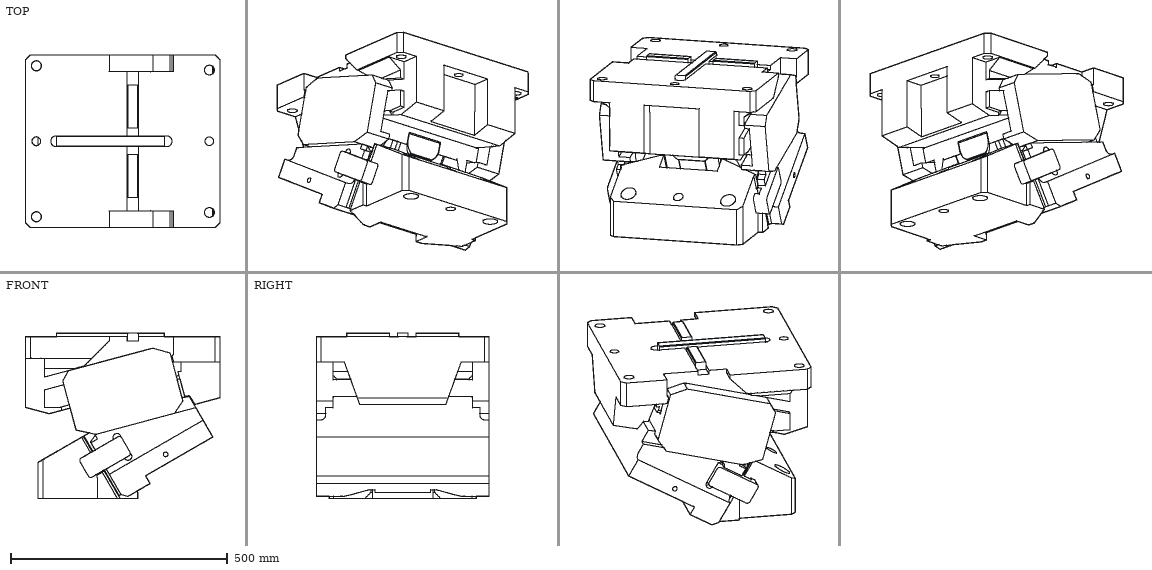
import cadquery as cq
import math

SLIDE_ANGLE = math.radians(15)
RAMP_ANGLE = math.radians(30)

LENGTH = 450.0
WIDTH = 400.0
HEIGHT = 384.0
HALF_WIDTH = WIDTH / 2
FAR = 900.0
FIT = 0.5
CORNER_CHAMFER = 11.2

WALL_HALF = 161.0
BLOCK_HALF = 150.0
SLIDE_FACE = 175.5
RAIL_TOP = 231.8
PLATE_TOP = 260.0
CHANNEL_END = 369.0
SHELF = 132.5
RAMP_END = 447.0
SHELF_END = 15.8

TOP_FACE = 375.0
PLATE_UNDERSIDE = 325.0
REAR_UNDERSIDE = 316.0
OPENING_FRONT = 194.0
OPENING_REAR = 343.0
OPENING_LIP_Z = 365.5
REAR_LIP = 4.0
REAR_LIP_Z = 330.5

BLOCK_FRONT_Z = 211.0
BLOCK_LOWEST_X = 55.0
POCKET_HALF = 66.0
POCKET_TOP_DEPTH = 44.5
POCKET_BOTTOM_DEPTH = 50.5
RAIL_FRONT = 43.5
RAIL_STEP_X = 83.5
RAIL_UNDERSIDE = 211.5
RAIL_CHAMFER = 8.0
WEB_LOW_Z = 301.5
WEB_TOP_HALF = 195.5
WEB_REAR = 136.0
WEB_LOW_REAR = 114.8
STOP_FACE = 416.5
STOP_STEP_Z = 294.0
STOP_X = 360.0
STOP_TOP_HALF = 135.0
STOP_BOTTOM_HALF = 97.0
STOP_BOTTOM_Z = 211.5
STOP_LOW = (392.0, 218.0)
STOP_END_Z = 233.5

KEY_WIDTH = 25.0
KEY_CHAMFER = 2.0
KEY_SLOT_FLOOR = 365.5
KEY_HEIGHT = HEIGHT - KEY_SLOT_FLOOR
CROSS_KEY_X = 248.5
CROSS_KEY_Y = 80.0
CROSS_KEY_LENGTH = 100.0
CROSS_SLOT_WIDTH = KEY_WIDTH + 2 * FIT
LONG_KEY_X = (71.5, 321.5)
LONG_SLOT_X = (58.5, 339.0)
FRONT_HOLE_X = 25.0
FRONT_HOLE_Y = 174.5
REAR_HOLE_X = 425.2
REAR_HOLE_Y = 164.5
BOLT_RADIUS = 11.2
DOWEL_RADIUS = 10.0

BASE_FRONT = 29.0
BASE_REAR = 260.0
BASE_HALF = 159.8
BASE_TOP = 58.5
NOSE_START = 190.0
NOSE_END = 232.5
NOSE_HALF = 73.5
NOTCH_START = 191.2
NOTCH_HALF = 69.8
EAR_START = 183.5
EAR_PEAK = 188.0
EAR_HEIGHT = 3.5
FOOT_HALF = 170.5
FOOT_FRONT = 166.0
FOOT_NOSE_START = 184.5
FOOT_END = 223.5
FOOT_BEVEL = -42.5
FOOT_BEVEL_END = 171.0
BASE_HOLE_X = 54.0
BASE_BOLT_Y = 120.0
BASE_BOLT_RADIUS = 17.0
BASE_DOWEL_RADIUS = 11.0

PLATE_FRONT, PLATE_REAR = 154.0, 410.5
PLATE_BOTTOM = 101.5
TOP_EDGE = (172.5, 375.0)
BOTTOM_EDGE = (195.8, 384.5)
FRONT_EDGE = (123.0, 240.8)
REAR_EDGE = (124.5, 239.0)
FLANGE_TOP = 134.5
FLANGE_INNER = 134.0
FLANGE_GAP_TOP = 140.5
FLANGE_GAP_END = 270.0
CORE_FRONT = 195.8

SLIDER_WEB_HALF = 178.0
WEB_NOTCH_END = 213.5
WEB_NOTCH_FLOOR = 36.5
WEB_BLANK_TOP = 180.0
LEDGE = -48.0
LEDGE_FILLET = 14.0
SLAB_LIP = 191.2
SLAB_FRONT = 196.0
SLAB_UNDERSIDE = -93.0
SLAB_STEP = 267.5
SLAB_LOWEST = -114.0
SLAB_CHAMFER = 11.5
SLAB_HOLE = (332.0, -73.5)
SLAB_HOLE_RADIUS = 5.5
SLAB_HOLE_DEPTH = 22.5

RECESS_MOUTH = [(SLAB_FRONT, 175.5), (SLAB_LIP, 170.5)]
RECESS_FLANK = [(217.5, 116.5), (224.5, 104.0)]
RECESS_CORNER = (238.5, 78.5)
RECESS_FRONT = 225.0
RECESS_INNER = 64.5
RECESS_ROOF = 78.0
MOUTH_FLOOR = 60.5

TONGUE_FRONT = CORE_FRONT - 2.0
TONGUE_TOP = 162.0
TONGUE_BACK = 234.0
TONGUE_BACK_Z = 198.0
TONGUE_HALF = 47.2
TONGUE_SHOULDER_Z = 184.5
TONGUE_ROUND = (42.5, 172.0)
TONGUE_TIP_Z = 162.0
TONGUE_TIP_HALF = 31.5
TIP_FRONT = 221.5

GUIDE_FRONT, GUIDE_REAR = 152.0, 263.2
GUIDE_BOTTOM, GUIDE_TOP = -33.8, 17.0
GUIDE_INNER, GUIDE_OUTER = BASE_HALF + FIT, 192.0
GUIDE_RADIUS = 6.8
GUIDE_NOTCH = (168.5, 187.0)
RELIEF_RADIUS = 9.0


def tilted(angle, along, across):
    """(x, z) of a point given along and across a direction that rises towards +X."""
    x = along * math.cos(angle) - across * math.sin(angle)
    z = along * math.sin(angle) + across * math.cos(angle)
    return x, z


def slide(along, across):
    return tilted(SLIDE_ANGLE, along, across)


def ramp(along, across):
    return tilted(RAMP_ANGLE, along, across)


def at_z(angle, along, z):
    """(x, z) at height z on the line square to the tilted direction at `along`."""
    return (along - z * math.sin(angle)) / math.cos(angle), z


def at_x(angle, x, across):
    """(x, z) at x on the line parallel to the tilted direction at `across`."""
    return x, x * math.tan(angle) + across / math.cos(angle)


def square_to_x(angle, along, x):
    """(x, z) at x on the line square to the tilted direction at `along`."""
    return x, (along - x * math.cos(angle)) / math.sin(angle)


def both_sides(part):
    """The part together with its mirror image about y = 0."""
    return part.union(part.mirror("XZ"))


def prism(outline, half):
    """XZ outline extruded from -half to +half in Y."""
    return cq.Workplane("XZ").polyline(outline).close().extrude(half, both=True)


def side_prisms(outline, inner, outer):
    """XZ outline extruded from inner to outer in Y, on both sides."""
    plane = cq.Workplane("XZ", origin=(0, outer, 0))
    return both_sides(plane.polyline(outline).close().extrude(outer - inner))


def x_prism(section):
    """YZ section extruded over the whole length."""
    return cq.Workplane("YZ").polyline(section).close().extrude(LENGTH)


def swept_section(angle, start, section, distance):
    """(y, across) section extruded along a tilted direction from the (x, z) point start."""
    direction = (math.cos(angle), 0, math.sin(angle))
    plane = cq.Plane(origin=(start[0], 0, start[1]), xDir=(0, 1, 0), normal=direction)
    return section(cq.Workplane(plane)).extrude(distance)


def ramp_prism(half_outline, bottom, top):
    """(along, y) outline with y >= 0, mirrored about y = 0 and extruded across RAMP."""
    x, z = ramp(0, bottom)
    direction = (math.cos(RAMP_ANGLE), 0, math.sin(RAMP_ANGLE))
    normal = (-math.sin(RAMP_ANGLE), 0, math.cos(RAMP_ANGLE))
    plane = cq.Workplane(cq.Plane(origin=(x, 0, z), xDir=direction, normal=normal))
    mirrored = [(along, -y) for along, y in reversed(half_outline)]
    return plane.polyline(half_outline + mirrored).close().extrude(top - bottom)


def box_outline(direction, along, across):
    """XZ outline of a rectangle given by its ranges along and across slide or ramp."""
    (start, end), (bottom, top) = along, across
    return [direction(start, bottom), direction(end, bottom), direction(end, top), direction(start, top)]


def ramp_boxes(along, across, inner, outer):
    """Boxes aligned with RAMP, one on each side."""
    return side_prisms(box_outline(ramp, along, across), inner, outer)


def z_holes(points, radius):
    """Vertical cylinders through the whole height."""
    return cq.Workplane("XY").pushPoints(points).circle(radius).extrude(HEIGHT)


def y_holes(points, radius, depth):
    """Cylinders of the given depth from the outer faces of both sides."""
    plane = cq.Workplane("XZ", origin=(0, HALF_WIDTH, 0))
    return both_sides(plane.pushPoints(points).circle(radius).extrude(depth))


def holder_plate():
    """Front and rear parts of the plate, which leave an opening on each side between them."""
    slope_end = OPENING_FRONT - (OPENING_LIP_Z - PLATE_UNDERSIDE)
    front = [
        (0, TOP_FACE), (OPENING_FRONT, TOP_FACE), (OPENING_FRONT, OPENING_LIP_Z),
        (slope_end, PLATE_UNDERSIDE), (0, PLATE_UNDERSIDE),
    ]
    rear = [
        (OPENING_REAR, TOP_FACE), (LENGTH, TOP_FACE), (LENGTH, REAR_UNDERSIDE), (OPENING_REAR, REAR_UNDERSIDE),
        (OPENING_REAR - REAR_LIP, REAR_LIP_Z), (OPENING_REAR, REAR_LIP_Z + REAR_LIP),
    ]
    plan = cq.Workplane("XY").center(LENGTH / 2, 0).rect(LENGTH, WIDTH).extrude(HEIGHT)
    plan = plan.edges("|Z").chamfer(CORNER_CHAMFER)
    return prism(front, HALF_WIDTH).union(prism(rear, HALF_WIDTH)).intersect(plan)


def rail_chamfers():
    """Bevels along the lower outer edges of the guide rails."""
    corner = [(WALL_HALF - RAIL_CHAMFER, 0), (WALL_HALF, 0), (WALL_HALF, RAIL_CHAMFER)]
    bevel = swept_section(
        SLIDE_ANGLE, slide(0, SLIDE_FACE), lambda plane: plane.polyline(corner).close(), STOP_FACE
    )
    return both_sides(bevel)


def holder_body():
    """Middle of the holder: front block, sliding face, guide rails and channels."""
    outline = [
        (0, TOP_FACE), (0, BLOCK_FRONT_Z), at_x(SLIDE_ANGLE, BLOCK_LOWEST_X, SLIDE_FACE),
        slide(STOP_FACE, SLIDE_FACE), at_z(SLIDE_ANGLE, STOP_FACE, STOP_STEP_Z), (STOP_X, STOP_STEP_Z),
        (STOP_X, REAR_UNDERSIDE), (LENGTH, REAR_UNDERSIDE), (LENGTH, TOP_FACE),
    ]
    channel = box_outline(slide, (0, CHANNEL_END), (RAIL_TOP, PLATE_TOP + FIT))
    rail_relief = [
        (0, 0), (RAIL_STEP_X, 0), (RAIL_STEP_X, RAIL_UNDERSIDE), (RAIL_FRONT, RAIL_UNDERSIDE),
        (RAIL_FRONT, PLATE_UNDERSIDE), (0, PLATE_UNDERSIDE),
    ]
    pocket = [(0, PLATE_UNDERSIDE), (POCKET_TOP_DEPTH, PLATE_UNDERSIDE), (POCKET_BOTTOM_DEPTH, 0), (0, 0)]
    body = prism(outline, WALL_HALF)
    body = body.cut(side_prisms(channel, BLOCK_HALF, HALF_WIDTH))
    body = body.cut(side_prisms(rail_relief, BLOCK_HALF, HALF_WIDTH))
    return body.cut(prism(pocket, POCKET_HALF)).cut(rail_chamfers())


def holder_webs():
    """Sloping webs below the front part of the plate, ending above the side plates."""
    slope = OPENING_FRONT - OPENING_LIP_Z
    outline = [
        (RAIL_FRONT, PLATE_UNDERSIDE), (PLATE_UNDERSIDE + slope, PLATE_UNDERSIDE), (WEB_REAR, WEB_REAR - slope),
        (WEB_LOW_REAR, WEB_LOW_Z), (RAIL_FRONT, WEB_LOW_Z),
    ]
    section = [(WALL_HALF, WEB_LOW_Z), (WALL_HALF, PLATE_UNDERSIDE), (WEB_TOP_HALF, PLATE_UNDERSIDE)]
    return side_prisms(outline, WALL_HALF, HALF_WIDTH).intersect(both_sides(x_prism(section)))


def holder_stop():
    """Wall behind the slider, narrower towards its underside."""
    outline = [
        at_z(SLIDE_ANGLE, STOP_FACE, STOP_STEP_Z), slide(STOP_FACE, SHELF + 2 * FIT),
        ramp(RAMP_END + FIT, SHELF_END + 2 * FIT), STOP_LOW, (LENGTH, STOP_END_Z),
        (LENGTH, REAR_UNDERSIDE), (STOP_X, REAR_UNDERSIDE), (STOP_X, STOP_STEP_Z),
    ]
    section = [
        (-STOP_TOP_HALF, REAR_UNDERSIDE), (STOP_TOP_HALF, REAR_UNDERSIDE),
        (STOP_BOTTOM_HALF, STOP_BOTTOM_Z), (-STOP_BOTTOM_HALF, STOP_BOTTOM_Z),
    ]
    return prism(outline, STOP_TOP_HALF).intersect(x_prism(section))


def key(length, width, long_edges, x, y):
    """Key centred at (x, y), standing on the slot floor, with its long top edges chamfered."""
    bar = cq.Workplane("XY").box(length, width, KEY_HEIGHT, centered=(True, True, False))
    return bar.edges(long_edges).chamfer(KEY_CHAMFER).translate((x, y, KEY_SLOT_FLOOR))


def holder_keys():
    start, end = LONG_KEY_X
    keys = key(end - start, KEY_WIDTH, "|X and >Z", (start + end) / 2, 0)
    for y in (-CROSS_KEY_Y, CROSS_KEY_Y):
        keys = keys.union(key(KEY_WIDTH, CROSS_KEY_LENGTH, "|Y and >Z", CROSS_KEY_X, y))
    return keys


def key_slots():
    start, end = LONG_SLOT_X
    floor = cq.Workplane("XY").workplane(offset=KEY_SLOT_FLOOR)
    long_slot = floor.center((start + end) / 2, 0).slot2D(end - start, KEY_WIDTH).extrude(KEY_HEIGHT)
    floor = cq.Workplane("XY").workplane(offset=KEY_SLOT_FLOOR)
    cross_slot = floor.center(CROSS_KEY_X, 0).rect(CROSS_SLOT_WIDTH, WIDTH).extrude(KEY_HEIGHT)
    return long_slot.union(cross_slot)


def holder_holes():
    """Bolt and dowel holes as deep as the rear part of the plate."""
    bolts = [
        (FRONT_HOLE_X, FRONT_HOLE_Y), (FRONT_HOLE_X, -FRONT_HOLE_Y),
        (REAR_HOLE_X, REAR_HOLE_Y), (REAR_HOLE_X, -REAR_HOLE_Y),
    ]
    dowels = [(FRONT_HOLE_X, 0), (REAR_HOLE_X, 0)]
    plate_zone = cq.Workplane("XY").workplane(offset=REAR_UNDERSIDE).rect(2 * FAR, WIDTH).extrude(HEIGHT)
    return z_holes(bolts, BOLT_RADIUS).union(z_holes(dowels, DOWEL_RADIUS)).intersect(plate_zone)


def make_holder():
    body = holder_plate().union(holder_body()).union(holder_webs()).union(holder_stop())
    return body.cut(holder_holes()).cut(key_slots()).union(holder_keys())


def base_wedge():
    """Block with a sloping top and a nose that narrows towards the rear."""
    profile = [
        (BASE_FRONT, 0), at_x(RAMP_ANGLE, BASE_FRONT, BASE_TOP), ramp(NOSE_END, BASE_TOP),
        square_to_x(RAMP_ANGLE, NOSE_END, BASE_REAR), (BASE_REAR, 0),
    ]
    plan = [(-FAR, BASE_HALF), (NOSE_START, BASE_HALF), (NOSE_END, NOSE_HALF)]
    return prism(profile, BASE_HALF).intersect(ramp_prism(plan, -FAR, FAR))


def base_ears():
    """Small ridges on the sides, above the guide blocks."""
    plan = [(EAR_START, BASE_HALF), (EAR_PEAK, BASE_HALF + EAR_HEIGHT), (NOSE_START - 2 * FIT, BASE_HALF)]
    return ramp_prism(plan, GUIDE_TOP + FIT, BASE_TOP)


def base_foot():
    """Wider part below the guide blocks."""
    top = GUIDE_BOTTOM - 4 * FIT
    outline = [
        (FOOT_FRONT, 0), at_x(RAMP_ANGLE, FOOT_FRONT, FOOT_BEVEL), ramp(FOOT_BEVEL_END, top),
        ramp(FOOT_END, top), at_z(RAMP_ANGLE, FOOT_END, 0),
    ]
    plan = [(-FAR, FOOT_HALF), (FOOT_NOSE_START, FOOT_HALF), (NOSE_END, NOSE_HALF)]
    return prism(outline, FOOT_HALF).intersect(ramp_prism(plan, -FAR, FAR))


def base_corners():
    """Waste at the chamfered front corners."""
    corner = [
        (BASE_FRONT, BASE_HALF), (BASE_FRONT + CORNER_CHAMFER, BASE_HALF),
        (BASE_FRONT, BASE_HALF - CORNER_CHAMFER),
    ]
    return both_sides(cq.Workplane("XY").polyline(corner).close().extrude(HEIGHT))


def make_base():
    bolts = [(BASE_HOLE_X, -BASE_BOLT_Y), (BASE_HOLE_X, BASE_BOLT_Y)]
    notch = ramp_prism([(NOTCH_START, NOTCH_HALF), (FAR, NOTCH_HALF)], -FAR, FAR)
    body = base_wedge().union(base_ears()).union(base_foot()).cut(base_corners()).cut(notch)
    return body.cut(z_holes(bolts, BASE_BOLT_RADIUS)).cut(z_holes([(BASE_HOLE_X, 0)], BASE_DOWEL_RADIUS))


def slider_core():
    """Wedge between the holder's sliding face and the slab."""
    outline = [
        slide(CORE_FRONT, SLIDE_FACE), slide(PLATE_REAR, SLIDE_FACE), slide(PLATE_REAR, SHELF),
        ramp(RAMP_END, SHELF_END), ramp(RAMP_END, LEDGE), ramp(SLAB_LIP, LEDGE),
        ramp(SLAB_LIP, WEB_NOTCH_FLOOR), slide(CORE_FRONT, PLATE_BOTTOM),
    ]
    return prism(outline, WALL_HALF)


def slider_webs():
    """Side walls above the ledge, notched at their front upper corners."""
    below_plates = prism(box_outline(slide, (0, FAR), (-FAR, PLATE_BOTTOM)), HALF_WIDTH)
    webs = ramp_boxes((SLAB_LIP, RAMP_END), (LEDGE, WEB_BLANK_TOP), BLOCK_HALF, SLIDER_WEB_HALF)
    webs = webs.intersect(below_plates)
    for end, floor in ((SLAB_FRONT, GUIDE_TOP), (WEB_NOTCH_END, WEB_NOTCH_FLOOR)):
        webs = webs.cut(ramp_boxes((0, end), (floor, WEB_BLANK_TOP), BLOCK_HALF, HALF_WIDTH))
    return webs


def slider_slab():
    """Full-width slab below the ledge."""
    chamfer_top = SLAB_LOWEST + SLAB_CHAMFER
    outline = [
        (SLAB_LIP, LEDGE), (RAMP_END, LEDGE), (RAMP_END, SLAB_UNDERSIDE), (SLAB_STEP, SLAB_UNDERSIDE),
        (SLAB_STEP, SLAB_LOWEST), (SLAB_FRONT + SLAB_CHAMFER, SLAB_LOWEST), (SLAB_FRONT, chamfer_top),
        (SLAB_LIP, chamfer_top),
    ]
    return prism([ramp(*point) for point in outline], HALF_WIDTH)


def fillet_section(plane):
    """Concave corner between a web and the ledge."""
    corner = plane.moveTo(SLIDER_WEB_HALF, 0).lineTo(SLIDER_WEB_HALF + LEDGE_FILLET, 0)
    return corner.radiusArc((SLIDER_WEB_HALF, LEDGE_FILLET), LEDGE_FILLET).close()


def ledge_fillets():
    return both_sides(
        swept_section(RAMP_ANGLE, ramp(SLAB_FRONT, LEDGE), fillet_section, RAMP_END - SLAB_FRONT)
    )


def side_plates():
    """Eight-sided plates with tongues in the holder's channels and flanges below its sliding face."""
    front_bottom, front_top = FRONT_EDGE
    rear_bottom, rear_top = REAR_EDGE
    plate = [
        (TOP_EDGE[0], PLATE_TOP), (TOP_EDGE[1], PLATE_TOP), (PLATE_REAR, rear_top), (PLATE_REAR, rear_bottom),
        (BOTTOM_EDGE[1], PLATE_BOTTOM), (BOTTOM_EDGE[0], PLATE_BOTTOM),
        (PLATE_FRONT, front_bottom), (PLATE_FRONT, front_top),
    ]
    tongue = [
        (TOP_EDGE[0], PLATE_TOP), (CHANNEL_END, PLATE_TOP), (CHANNEL_END, RAIL_TOP),
        (PLATE_FRONT, RAIL_TOP), (PLATE_FRONT, front_top),
    ]
    flange = [
        (CORE_FRONT, FLANGE_TOP), (PLATE_FRONT, FLANGE_TOP),
        (PLATE_FRONT, front_bottom), (CORE_FRONT, PLATE_BOTTOM),
    ]
    plates = side_prisms([slide(*point) for point in plate], WALL_HALF, HALF_WIDTH)
    tongues = side_prisms([slide(*point) for point in tongue], BLOCK_HALF, WALL_HALF)
    flanges = side_prisms([slide(*point) for point in flange], FLANGE_INNER, WALL_HALF)
    return plates.union(tongues).union(flanges)


def flange_gaps():
    """Slots above the flanges of the side plates."""
    outline = box_outline(slide, (0, FLANGE_GAP_END), (FLANGE_TOP, FLANGE_GAP_TOP))
    return side_prisms(outline, FLANGE_INNER, WALL_HALF)


def nose_recess():
    """Room for the two prongs of the base, around a block that stands in the notch between them."""
    plan = [
        (0, HALF_WIDTH), (SLAB_FRONT, HALF_WIDTH), *RECESS_MOUTH, *RECESS_FLANK, RECESS_CORNER,
        (RECESS_CORNER[0], RECESS_INNER), (RECESS_FRONT, RECESS_INNER),
    ]
    mouth = [(0, RECESS_FLANK[0][1]), *RECESS_FLANK]
    return ramp_prism(plan, -FAR, RECESS_ROOF).union(ramp_prism(mouth, MOUTH_FLOOR, FAR))


def slider_tongue():
    """Middle tongue with rounded lower corners and a narrower tip in the notch of the base."""
    outline = [
        slide(TONGUE_FRONT, TONGUE_TOP), at_z(SLIDE_ANGLE, TONGUE_FRONT, TONGUE_TIP_Z),
        at_z(RAMP_ANGLE, TONGUE_BACK, TONGUE_TIP_Z), at_z(RAMP_ANGLE, TONGUE_BACK, TONGUE_BACK_Z),
    ]
    round_y, round_z = TONGUE_ROUND
    section = (
        cq.Workplane("YZ").moveTo(-TONGUE_HALF, HEIGHT).lineTo(-TONGUE_HALF, TONGUE_SHOULDER_Z)
        .threePointArc((-round_y, round_z), (-TONGUE_TIP_HALF, TONGUE_TIP_Z))
        .lineTo(TONGUE_TIP_HALF, TONGUE_TIP_Z)
        .threePointArc((round_y, round_z), (TONGUE_HALF, TONGUE_SHOULDER_Z))
        .lineTo(TONGUE_HALF, HEIGHT).close().extrude(LENGTH)
    )
    tip = ramp_prism([(TIP_FRONT, TONGUE_TIP_HALF), (TONGUE_BACK, TONGUE_TIP_HALF)], LEDGE, MOUTH_FLOOR)
    return prism(outline, TONGUE_HALF).intersect(section).union(tip)


def guide_blocks():
    """Rounded blocks that reach from the webs past the sides of the base."""
    height = (GUIDE_BOTTOM, GUIDE_TOP)
    blocks = ramp_boxes((GUIDE_FRONT, GUIDE_REAR), height, GUIDE_INNER, GUIDE_OUTER)
    blocks = blocks.edges("|Y").fillet(GUIDE_RADIUS)
    return blocks.cut(ramp_boxes(GUIDE_NOTCH, height, GUIDE_INNER, FOOT_HALF))


def guide_reliefs():
    """Round corner reliefs in the webs at the rear corners of the guide blocks."""
    centers = [ramp(GUIDE_REAR - RELIEF_RADIUS, across) for across in (GUIDE_BOTTOM, GUIDE_TOP)]
    return y_holes(centers, RELIEF_RADIUS, HALF_WIDTH - GUIDE_INNER)


def make_slider():
    body = slider_core().union(slider_webs()).union(slider_slab()).union(ledge_fillets())
    body = body.cut(nose_recess())
    body = body.union(side_plates()).cut(flange_gaps())
    body = body.cut(guide_reliefs()).cut(y_holes([ramp(*SLAB_HOLE)], SLAB_HOLE_RADIUS, SLAB_HOLE_DEPTH))
    return body.union(slider_tongue()).union(guide_blocks())


holder = make_holder()
base = make_base()
slider = make_slider()
result = cq.Compound.makeCompound([*holder.solids().vals(), *base.solids().vals(), *slider.solids().vals()])